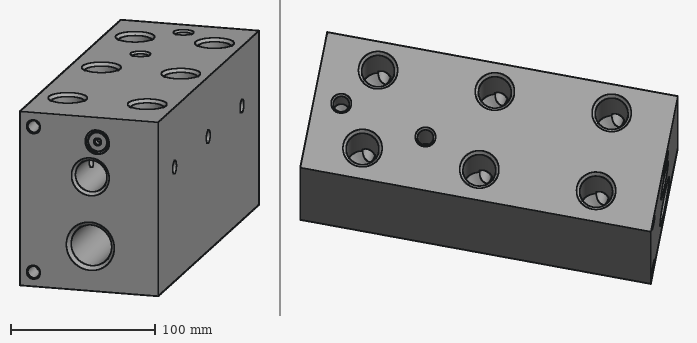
import cadquery as cq
import math

WIDTH = 100.0
LENGTH = 247.6
HEIGHT = 125.3
TOP = HEIGHT / 2
FRONT = -LENGTH / 2

DRILL_TIP_ANGLE = 118.0

GALLERY_X = 1.0
UPPER_GALLERY_Z = 19.5
UPPER_GALLERY_DIAMETER = 22.8
LOWER_GALLERY_Z = -30.5
LOWER_GALLERY_DIAMETER = 29.2
UPPER_CHAMFER = 2.2
LOWER_CHAMFER = 2.7

PORT_LEFT_X = -28.0
PORT_RIGHT_X = 29.5
PORT_PITCH_Y = 82.5
PORT_MIDDLE_Y = 1.5
PORT_DIAMETER = 22.8
PORT_CHAMFER = 2.2
PORT_DEPTH = 44.5

CROSS_DIAMETER = 9.5
CROSS_OFFSET_Y = -2.5

GAUGE_DIAMETER = 11.1
GAUGE_CHAMFER = 1.5
REAR_GAUGE_X = 1.0
REAR_GAUGE_Y = 104.5
REAR_GAUGE_DEPTH = 19.8
GALLERY_GAUGE_X = -12.0
GALLERY_GAUGE_Y = 42.5

FASTENER_DIAMETER = 8.5
FASTENER_CHAMFER = 0.7
FASTENER_INSET = 10.0
FASTENER_PITCH_Z = 104.8
FASTENER_DEPTH = 19.8

PLUG_X = 6.0
PLUG_Z = 44.8
PLUG_DIAMETER = 14.4
PLUG_LENGTH = 12.5
PLUG_CHAMFER = 0.5
PLUG_SOCKET_DIAMETER = 4.0
PLUG_SOCKET_CHAMFER = 0.7
PLUG_SOCKET_DEPTH = 6.2
SEAT_DIAMETER = 17.3
SEAT_DEPTH = 2.0
PLUG_RECESS = 1.0


def top_plane(x, y):
    """Plane facing up on the top face."""
    return cq.Plane(origin=(x, y, TOP), xDir=(1, 0, 0), normal=(0, 0, 1))


def front_plane(x, z, inset=0.0):
    """Plane facing -Y, set in from the front face by the inset."""
    return cq.Plane(origin=(x, FRONT + inset, z), xDir=(1, 0, 0), normal=(0, -1, 0))


def drilled_hole(plane, diameter, depth, chamfer=0.0):
    """Blind hole with a conical tip, cut inwards from the plane; the depth is that of the straight wall."""
    radius = diameter / 2
    tip = radius / math.tan(math.radians(DRILL_TIP_ANGLE / 2))
    profile = cq.Workplane("XY").moveTo(0, 0).lineTo(radius + chamfer, 0)
    if chamfer:
        profile = profile.lineTo(radius, -chamfer)
    profile = profile.lineTo(radius, -depth).lineTo(0, -depth - tip).close()
    hole = profile.revolve(360, (0, 0), (0, 1)).rotate((0, 0, 0), (1, 0, 0), 90)
    return cq.Workplane(hole.val().moved(cq.Location(plane)))


def gallery(z, diameter, chamfer):
    """Bore through the full length with a chamfered mouth at both ends."""
    radius = diameter / 2
    half = LENGTH / 2
    profile = (
        cq.Workplane("XY")
        .polyline([
            (0, -half),
            (radius + chamfer, -half),
            (radius, -half + chamfer),
            (radius, half - chamfer),
            (radius + chamfer, half),
            (0, half),
        ])
        .close()
    )
    return profile.revolve(360, (0, 0), (0, 1)).translate((GALLERY_X, 0, z))


def cross_drilling(x_start, x_end, y):
    """Drilling along X at the height of the upper gallery."""
    return (
        cq.Workplane("YZ", origin=(x_start, y, UPPER_GALLERY_Z))
        .circle(CROSS_DIAMETER / 2)
        .extrude(x_end - x_start)
    )


def cut_galleries(block):
    block = block.cut(gallery(UPPER_GALLERY_Z, UPPER_GALLERY_DIAMETER, UPPER_CHAMFER))
    return block.cut(gallery(LOWER_GALLERY_Z, LOWER_GALLERY_DIAMETER, LOWER_CHAMFER))


def cut_large_ports(block):
    """Left ports lead into the upper gallery, right ports lead out to the +X face."""
    columns = ((PORT_LEFT_X, GALLERY_X), (PORT_RIGHT_X, WIDTH / 2))
    for row in (-1, 0, 1):
        y = PORT_MIDDLE_Y + row * PORT_PITCH_Y
        for x, cross_end in columns:
            block = block.cut(drilled_hole(top_plane(x, y), PORT_DIAMETER, PORT_DEPTH, PORT_CHAMFER))
            block = block.cut(cross_drilling(x, cross_end, y + CROSS_OFFSET_Y))
    return block


def cut_gauge_ports(block):
    ports = (
        (REAR_GAUGE_X, REAR_GAUGE_Y, REAR_GAUGE_DEPTH),
        (GALLERY_GAUGE_X, GALLERY_GAUGE_Y, TOP - UPPER_GALLERY_Z),
    )
    for x, y, depth in ports:
        block = block.cut(drilled_hole(top_plane(x, y), GAUGE_DIAMETER, depth, GAUGE_CHAMFER))
    return block


def cut_fastener_holes(block):
    for side in (-1, 1):
        plane = front_plane(FASTENER_INSET - WIDTH / 2, side * FASTENER_PITCH_Z / 2)
        block = block.cut(drilled_hole(plane, FASTENER_DIAMETER, FASTENER_DEPTH, FASTENER_CHAMFER))
    return block


def cut_plug_seat(block):
    """Shallow spot face around the bore that the plug fills."""
    plane = front_plane(PLUG_X, PLUG_Z)
    spot_face = cq.Workplane(plane).circle(SEAT_DIAMETER / 2).extrude(-SEAT_DEPTH)
    bore = cq.Workplane(plane).circle(PLUG_DIAMETER / 2).extrude(-PLUG_RECESS - PLUG_LENGTH)
    return block.cut(spot_face).cut(bore)


def make_block():
    block = cq.Workplane("XY").box(WIDTH, LENGTH, HEIGHT)
    block = cut_galleries(block)
    block = cut_large_ports(block)
    block = cut_gauge_ports(block)
    block = cut_fastener_holes(block)
    return cut_plug_seat(block)


def make_plug():
    plane = front_plane(PLUG_X, PLUG_Z, PLUG_RECESS)
    plug = cq.Workplane(plane).circle(PLUG_DIAMETER / 2).extrude(-PLUG_LENGTH)
    plug = plug.faces("<Y").chamfer(PLUG_CHAMFER)
    return plug.cut(drilled_hole(plane, PLUG_SOCKET_DIAMETER, PLUG_SOCKET_DEPTH, PLUG_SOCKET_CHAMFER))


block = make_block()
plug = make_plug()
result = cq.Compound.makeCompound([block.val(), plug.val()])